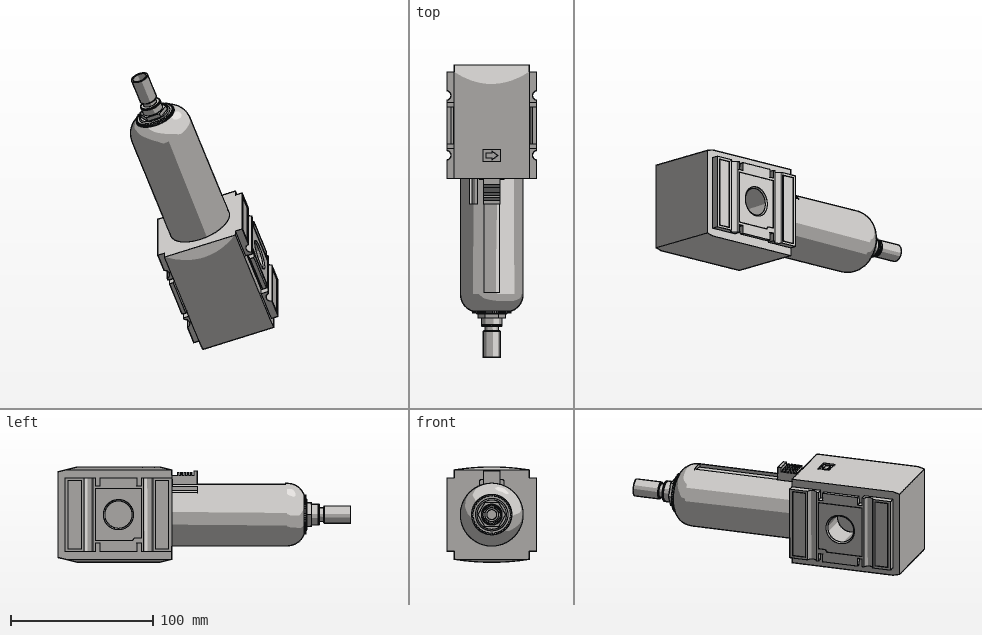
import cadquery as cq
import math


block_width = 53.0
block_front_y = -37.5
block_rear_y = 42.5
edge_z = 31.4
crown_z = 33.565
end_slope = 0.25
slope_end_y = 37.5
half_block = block_width / 2

overall_width = 63.0
rail_thickness = (overall_width - block_width) / 2
rail_length = 75.0
rail_height = 51.5
groove_radius = 3.3
groove_y = 21.0
groove_axis_offset = 0.5
half_rail = rail_height / 2
rail_face_x = overall_width / 2

slot_inner_y = 13.0
slot_outer_y = 16.2
slot_bottom_z = 20.1
clip_tip_thickness = 2.8
clip_root_gap = 0.5

label_inner_y = 25.9
label_outer_y = 35.3
label_height = 48.0
label_depth = 0.5
panel_half_y = slot_outer_y
panel_half_z = 18.2
panel_depth = 0.3
panel_notch_start_y = -9.8
panel_notch_end_y = -11.2
panel_notch_z = -16.4

port_radius = 9.6
port_mouth_radius = 10.6
port_depth = 22.0

arrow_pocket_size = (12.0, 8.3)
arrow_pocket_y = -21.2
arrow_pocket_floor_z = 32.3
arrow_tail_x = -4.1
arrow_neck_x = 0.2
arrow_tip_x = 4.3
arrow_shaft_half = 1.75
arrow_head_half = 3.0
arrow_height = 0.5

bowl_radius = 22.1
dome_start_y = -118.7
ring_start_y = -130.3
dome_end_radius = 14.2
ring_radius = 13.7
ring_end_y = -131.8
disc_radius = 11.4
disc_face_radius = 10.3
disc_end_y = -132.4
hex_across_corners = 19.5
hex_end_y = -135.4
collar_radius = 7.35
collar_end_y = -141.1
collar_chamfer = 0.4
neck_radius = 4.85
neck_end_y = -144.1
tube_radius = 6.1
tube_chamfer = 0.6
tube_end_y = -163.0
tube_bore_radius = 4.9
drain_hole_radius = 3.5
tooth_count = 32
ring_tooth_depth = 0.7
collar_tooth_depth = 0.35
collar_tooth_length = 1.1

recess_floor_radius = 19.8
sight_groove_width = 10.8
sight_groove_end_y = -117.3
window_wall_x = -10.0

latch_width = 11.9
latch_end_y = -55.4
latch_top_z = 27.5
lip_top_z = 30.7
lip_length = 2.5
rib_top_z = 29.6
rib_count = 5
rib_start_y = -41.4
latch_plate_width = 17.0
latch_plate_top_z = 24.6
latch_plate_thickness = 0.6
latch_plate_corner = 1.0


def box(x0, x1, y0, y1, z0, z1):
    """Box between two corners given by their coordinates."""
    return cq.Workplane("XY").box(x1 - x0, y1 - y0, z1 - z0, centered=False).translate((x0, y0, z0))


def cylinder_y(radius, y_start, y_end):
    """Cylinder on the bowl axis, running towards -Y from y_start to y_end."""
    return cq.Workplane("XZ", origin=(0, y_start, 0)).circle(radius).extrude(y_start - y_end)


def both_sides(shape):
    """The shape together with its mirror image in the YZ plane."""
    return shape.union(shape.mirror("YZ"))



def housing_block():
    """Block with crowned top and bottom and sloped ends on the crowns."""
    section = (
        cq.Workplane("XZ", origin=(0, block_rear_y, 0))
        .moveTo(-half_block, -edge_z)
        .lineTo(-half_block, edge_z)
        .threePointArc((0, crown_z), (half_block, edge_z))
        .lineTo(half_block, -edge_z)
        .threePointArc((0, -crown_z), (-half_block, -edge_z))
        .close()
        .extrude(block_rear_y - block_front_y)
    )
    slope_run = (crown_z - edge_z) / end_slope
    rear_z = edge_z - end_slope * (block_rear_y - slope_end_y)
    upper = [
        (block_front_y, edge_z),
        (block_front_y + slope_run, crown_z),
        (slope_end_y - slope_run, crown_z),
        (block_rear_y, rear_z),
    ]
    lower = [(y, -z) for y, z in reversed(upper)]
    side = cq.Workplane("YZ").polyline(upper + lower).close().extrude(half_block, both=True)
    return section.intersect(side)


def rail():
    """Side rail on the -X side with two round grooves."""
    body = box(-rail_face_x, -half_block, -rail_length / 2, rail_length / 2, -half_rail, half_rail)
    groove_x = -rail_face_x - groove_axis_offset
    grooves = (
        cq.Workplane("XY", origin=(0, 0, -half_rail))
        .pushPoints([(groove_x, groove_y), (groove_x, -groove_y)])
        .circle(groove_radius)
        .extrude(rail_height)
    )
    return body.cut(grooves)


def clip_cuts():
    """Two slots and the tapered gap behind the clip, at the top of the -X rail."""
    cuts = box(-rail_face_x, -half_block, slot_inner_y, slot_outer_y, slot_bottom_z, half_rail)
    cuts = cuts.union(cuts.mirror("XZ"))
    gap = (
        cq.Workplane("XZ", origin=(0, slot_inner_y, 0))
        .polyline([
            (-rail_face_x + clip_tip_thickness, half_rail),
            (-half_block, half_rail),
            (-half_block, slot_bottom_z),
            (-half_block - clip_root_gap, slot_bottom_z),
        ])
        .close()
        .extrude(2 * slot_inner_y)
    )
    return cuts.union(gap)


def panel_recesses():
    """Two label recesses and the panel around the port, in the face of the -X rail."""
    label = box(
        -rail_face_x, -rail_face_x + label_depth, label_inner_y, label_outer_y,
        -label_height / 2, label_height / 2,
    )
    panel = (
        cq.Workplane("YZ", origin=(-rail_face_x, 0, 0))
        .polyline([
            (panel_half_y, -panel_half_z),
            (panel_half_y, panel_half_z),
            (-panel_half_y, panel_half_z),
            (-panel_half_y, panel_notch_z),
            (panel_notch_end_y, panel_notch_z),
            (panel_notch_start_y, -panel_half_z),
        ])
        .close()
        .extrude(panel_depth)
    )
    return label.union(label.mirror("XZ")).union(panel)


def port():
    """Blind port with a 45 degree mouth, entering from the panel on the -X side."""
    mouth_depth = port_mouth_radius - port_radius
    return (
        cq.Workplane("XY")
        .moveTo(-rail_face_x, 0)
        .lineTo(-rail_face_x, port_mouth_radius)
        .lineTo(-rail_face_x + panel_depth, port_mouth_radius)
        .lineTo(-rail_face_x + panel_depth + mouth_depth, port_radius)
        .lineTo(-rail_face_x + port_depth, port_radius)
        .lineTo(-rail_face_x + port_depth, 0)
        .close()
        .revolve(360, (0, 0, 0), (1, 0, 0))
    )


def arrow_pocket():
    """Rectangular pocket in the crown, around a raised arrow pointing to +X."""
    floor = cq.Workplane("XY", origin=(0, arrow_pocket_y, arrow_pocket_floor_z))
    pocket = floor.rect(*arrow_pocket_size).extrude(crown_z - arrow_pocket_floor_z)
    arrow = (
        floor.polyline([
            (arrow_tail_x, -arrow_shaft_half),
            (arrow_neck_x, -arrow_shaft_half),
            (arrow_neck_x, -arrow_head_half),
            (arrow_tip_x, 0),
            (arrow_neck_x, arrow_head_half),
            (arrow_neck_x, arrow_shaft_half),
            (arrow_tail_x, arrow_shaft_half),
        ])
        .close()
        .extrude(arrow_height)
    )
    return pocket.cut(arrow)


def make_housing():
    top_cuts = clip_cuts()
    side = rail().cut(top_cuts).cut(top_cuts.mirror("XY")).cut(panel_recesses())
    return housing_block().union(both_sides(side)).cut(both_sides(port())).cut(arrow_pocket())



def bowl_shell():
    """Bowl, domed end, drain disc, collar, neck and tube as one turned shape."""
    dome_drop = bowl_radius - dome_end_radius
    dome_length = dome_start_y - ring_start_y
    dome_arc_radius = (dome_drop ** 2 + dome_length ** 2) / (2 * dome_drop)
    mid_angle = math.asin(dome_length / dome_arc_radius) / 2
    dome_mid = (
        bowl_radius - dome_arc_radius * (1 - math.cos(mid_angle)),
        dome_start_y - dome_arc_radius * math.sin(mid_angle),
    )
    return (
        cq.Workplane("XY")
        .moveTo(0, block_front_y)
        .lineTo(bowl_radius, block_front_y)
        .lineTo(bowl_radius, dome_start_y)
        .threePointArc(dome_mid, (dome_end_radius, ring_start_y))
        .lineTo(ring_radius, ring_start_y)
        .lineTo(ring_radius, ring_end_y)
        .lineTo(disc_radius, ring_end_y)
        .lineTo(disc_face_radius, disc_end_y)
        .lineTo(collar_radius, disc_end_y)
        .lineTo(collar_radius, collar_end_y + collar_chamfer)
        .lineTo(collar_radius - collar_chamfer, collar_end_y)
        .lineTo(neck_radius, collar_end_y)
        .lineTo(neck_radius, neck_end_y)
        .lineTo(tube_radius - tube_chamfer, neck_end_y)
        .lineTo(tube_radius, neck_end_y - tube_chamfer)
        .lineTo(tube_radius, tube_end_y)
        .lineTo(tube_bore_radius, tube_end_y)
        .lineTo(tube_bore_radius, neck_end_y - tube_chamfer)
        .lineTo(drain_hole_radius, neck_end_y - tube_chamfer)
        .lineTo(drain_hole_radius, collar_end_y)
        .lineTo(0, collar_end_y)
        .close()
        .revolve(360, (0, 0, 0), (0, 1, 0))
    )


def drain_hex():
    """Hexagon of the drain with two corners on the X axis."""
    return (
        cq.Workplane("XZ", origin=(0, disc_end_y, 0))
        .polygon(6, hex_across_corners)
        .extrude(disc_end_y - hex_end_y)
    )


def tooth_gaps(radius, depth, y_start, y_end):
    """Ring of radial notches, as wide as the teeth between them."""
    gap_width = math.pi * radius / tooth_count
    return (
        cq.Workplane("XZ", origin=(0, y_start, 0))
        .polarArray(radius, 0, 360, tooth_count)
        .rect(2 * depth, gap_width)
        .extrude(y_start - y_end)
    )


def sight_groove():
    """Long groove along the top of the bowl, down to a round floor."""
    half_width = sight_groove_width / 2
    strip = box(-half_width, half_width, sight_groove_end_y, latch_end_y, 0, bowl_radius)
    return strip.cut(cylinder_y(recess_floor_radius, block_front_y, dome_start_y))


def window():
    """Short recess beside the latch, between an upright wall and a radial wall at 45 degrees."""
    wedge = (
        cq.Workplane("XZ", origin=(0, block_front_y, 0))
        .polyline([
            (window_wall_x, -window_wall_x),
            (window_wall_x, bowl_radius),
            (-bowl_radius, bowl_radius),
        ])
        .close()
        .extrude(block_front_y - latch_end_y)
    )
    return wedge.cut(cylinder_y(recess_floor_radius, block_front_y, latch_end_y))


def latch():
    """Latch block with finger ribs, an end lip and a thin plate against the housing."""
    half_width = latch_width / 2
    lip_y = latch_end_y + lip_length
    body = box(-half_width, half_width, latch_end_y, block_front_y, 0, latch_top_z)
    body = body.union(box(-half_width, half_width, latch_end_y, lip_y, 0, lip_top_z))
    rib_pitch = (rib_start_y - lip_y) / rib_count
    rib_thickness = rib_pitch / 2
    for index in range(rib_count):
        rib_y = rib_start_y - index * rib_pitch
        body = body.union(box(-half_width, half_width, rib_y - rib_thickness, rib_y, 0, rib_top_z))
    half_plate = latch_plate_width / 2
    plate_y = block_front_y - latch_plate_thickness
    plate = box(-half_plate, half_plate, plate_y, block_front_y, 0, latch_plate_top_z)
    plate = plate.edges("|Y and >Z").fillet(latch_plate_corner)
    return body.union(plate).cut(cylinder_y(recess_floor_radius, block_front_y, latch_end_y))


def make_bowl():
    bowl = bowl_shell().union(drain_hex())
    bowl = bowl.cut(tooth_gaps(ring_radius, ring_tooth_depth, ring_start_y, ring_end_y))
    collar_tooth_start = collar_end_y + collar_tooth_length
    bowl = bowl.cut(tooth_gaps(collar_radius, collar_tooth_depth, collar_tooth_start, collar_end_y))
    return bowl.cut(sight_groove()).cut(window()).union(latch())


housing = make_housing()
bowl = make_bowl()
result = cq.Compound.makeCompound([housing.val(), bowl.val()])